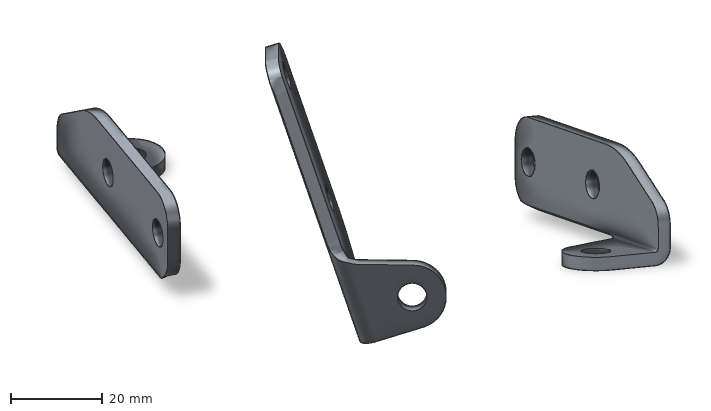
import cadquery as cq
import math

length = 66.7
height = 23.0
depth = 22.0
thickness = 3.0
inner_radius = 0.8
outer_radius = inner_radius + thickness
neutral_radius = 2.15
bend_length = neutral_radius * math.pi / 2

corner_radius = 6.0
slope_angle = math.radians(30)
shoulder_radius = 20.0
shoulder_end_x = 24.4
edge_angle = math.radians(27)
edge_height = outer_radius - neutral_radius * edge_angle
plate_hole_diameter = 6.35
plate_hole_z = 13.0
plate_hole_xs = (30.7, length - corner_radius)

tab_radius = 7.5
tab_center_y = depth - tab_radius
tab_hole_diameter = 6.5
taper_angle = math.radians(18.9)
fillet_radius = 6.0
edge_y = outer_radius - bend_length + neutral_radius * edge_angle

curve_points = 12
cut_margin = 0.35
cut_end_x = length + 6.7


def arc_point(center, radius, angle):
    return (center[0] + radius * math.cos(angle), center[1] + radius * math.sin(angle))


def steps(start, end):
    return [start + (end - start) * i / (curve_points - 1) for i in range(curve_points)]


lower_corner = (length - corner_radius, edge_height + corner_radius)
corner_bend_angle = math.asin((outer_radius - lower_corner[1]) / corner_radius)

taper_normal = (math.cos(taper_angle), math.sin(taper_angle))
fillet_y = edge_y + fillet_radius
taper_offset = tab_radius + fillet_radius
fillet_x = tab_radius + (taper_offset + (tab_center_y - fillet_y) * taper_normal[1]) / taper_normal[0]
fillet_center = (fillet_x, fillet_y)
fillet_taper_angle = math.pi + taper_angle
fillet_bend_angle = math.pi + math.asin((fillet_y - outer_radius) / fillet_radius)
fillet_edge_angle = 1.5 * math.pi


def make_plate():
    shoulder = (shoulder_end_x, height - shoulder_radius)
    slope_direction = math.pi / 2 + slope_angle
    slope_top = arc_point(shoulder, shoulder_radius, slope_direction)
    slope_start_x = corner_radius * (1 - math.sin(slope_angle))
    slope_start_z = slope_top[1] - (slope_top[0] - slope_start_x) * math.tan(slope_angle)
    left_corner = (corner_radius, slope_start_z - corner_radius * math.cos(slope_angle))
    upper_corner = (length - corner_radius, height - corner_radius)
    plate = (
        cq.Workplane("XZ")
        .moveTo(0, outer_radius)
        .lineTo(0, left_corner[1])
        .threePointArc(
            arc_point(left_corner, corner_radius, (math.pi + slope_direction) / 2),
            (slope_start_x, slope_start_z),
        )
        .lineTo(*slope_top)
        .threePointArc(
            arc_point(shoulder, shoulder_radius, (math.pi / 2 + slope_direction) / 2),
            (shoulder_end_x, height),
        )
        .lineTo(upper_corner[0], height)
        .threePointArc(
            arc_point(upper_corner, corner_radius, math.pi / 4),
            (length, upper_corner[1]),
        )
        .lineTo(length, lower_corner[1])
        .threePointArc(
            arc_point(lower_corner, corner_radius, corner_bend_angle / 2),
            arc_point(lower_corner, corner_radius, corner_bend_angle),
        )
        .close()
        .extrude(-thickness)
    )
    holes = (
        cq.Workplane("XZ")
        .pushPoints([(x, plate_hole_z) for x in plate_hole_xs])
        .circle(plate_hole_diameter / 2)
        .extrude(-thickness)
    )
    return plate.cut(holes)


def make_tab():
    center = (tab_radius, tab_center_y)
    middle_angle = (fillet_taper_angle + fillet_bend_angle) / 2
    tab = (
        cq.Workplane("XY")
        .moveTo(0, outer_radius)
        .lineTo(0, tab_center_y)
        .threePointArc((tab_radius, depth), arc_point(center, tab_radius, taper_angle))
        .lineTo(*arc_point(fillet_center, fillet_radius, fillet_taper_angle))
        .threePointArc(
            arc_point(fillet_center, fillet_radius, middle_angle),
            arc_point(fillet_center, fillet_radius, fillet_bend_angle),
        )
        .close()
        .extrude(thickness)
    )
    hole = cq.Workplane("XY").center(*center).circle(tab_hole_diameter / 2).extrude(thickness)
    return tab.cut(hole)


def bend_point(x, radius, angle):
    """Point around the bend: angle 0 is at the plate, 90 degrees at the tab."""
    return cq.Vector(
        x,
        outer_radius - radius * math.cos(angle),
        outer_radius - radius * math.sin(angle),
    )


def make_bend_section(start_angle, end_angle, edge_points):
    """Sector of the bend from x = 0 to a radial edge through (x, angle) points."""
    middle_angle = (start_angle + end_angle) / 2

    def flat_point(radius, angle):
        point = bend_point(0, radius, angle)
        return (point.y, point.z)

    sector = (
        cq.Workplane("YZ")
        .moveTo(*flat_point(inner_radius, start_angle))
        .lineTo(*flat_point(outer_radius, start_angle))
        .threePointArc(flat_point(outer_radius, middle_angle), flat_point(outer_radius, end_angle))
        .lineTo(*flat_point(inner_radius, end_angle))
        .threePointArc(flat_point(inner_radius, middle_angle), flat_point(inner_radius, start_angle))
        .close()
        .extrude(length)
    )

    near_radius = inner_radius - cut_margin
    far_radius = outer_radius + cut_margin
    outlines = []
    for x, angle in edge_points:
        corners = [
            bend_point(x, near_radius, angle),
            bend_point(x, far_radius, angle),
            bend_point(cut_end_x, far_radius, angle),
            bend_point(cut_end_x, near_radius, angle),
        ]
        outlines.append(cq.Wire.makePolygon(corners, close=True))
    cutter = cq.Solid.makeLoft(outlines)
    return sector.cut(cq.Workplane(obj=cutter))


def make_plate_bend():
    edge_points = []
    for angle in steps(corner_bend_angle, -math.pi / 2):
        x, unfolded_height = arc_point(lower_corner, corner_radius, angle)
        edge_points.append((x, (outer_radius - unfolded_height) / neutral_radius))
    return make_bend_section(0, edge_angle, edge_points)


def make_tab_bend():
    edge_points = []
    for angle in steps(fillet_edge_angle, fillet_bend_angle):
        x, unfolded_y = arc_point(fillet_center, fillet_radius, angle)
        edge_points.append((x, math.pi / 2 - (outer_radius - unfolded_y) / neutral_radius))
    return make_bend_section(edge_angle, math.pi / 2, edge_points)


result = make_plate().union(make_plate_bend()).union(make_tab_bend()).union(make_tab())